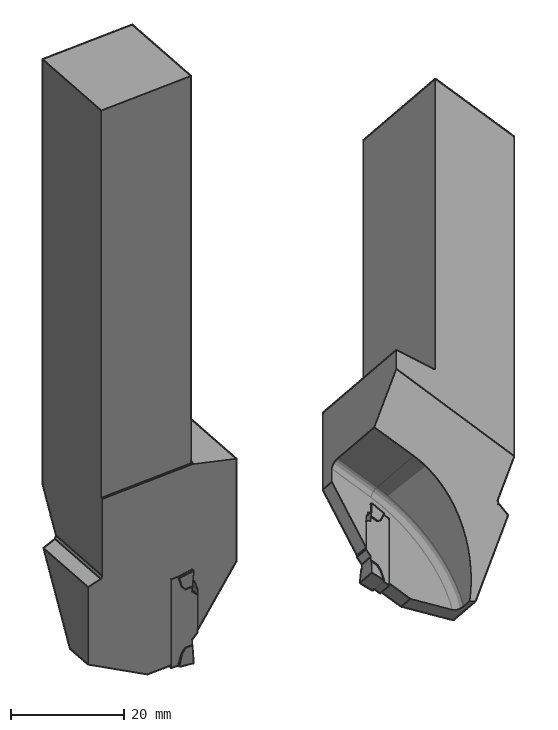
import cadquery as cq
import math


total_length = 127.0
shank_width = 18.8
shank_depth = 19.0
head_width = 19.2
head_back = 28.5
head_front = -3.0
shoulder_slope = math.tan(math.radians(15))
back_shoulder_z = 42.9
front_shoulder_z = 25.8
shoulder_chamfer = 0.4
back_corner_z = 18.2
front_corner_z = 8.1

blade_left = 16.8
blade_bottom_z = 1.0
blade_front_y = 9.5
incline_top_z = 34.7
incline_angle = 26.7
incline_tilt = 0.5
recess_center_z = 1.8
recess_radius = 21.7
recess_fillet = 1.5

insert_front = 14.6
insert_back = 20.2
insert_top_z = 20.1
tip_back = shank_depth
heel_z = 0.4
neck_z = 4.8
belly_z = 6.0
tip_height = 3.7
tip_front = 16.0
tip_bend_y = 16.8
tip_bend_z = 2.8
tip_top_y = 17.5
tip_left_overhang = 0.3
tip_right_overhang = 0.5
tip_root_overhang = 0.1

relief_top_z = 17.7
relief_bend_y = 19.5
relief_bend_z = 17.3
relief_bottom_z = 15.2

margin = 6.4


def prism_along_x(points, x_start, x_end):
    """Extrude a closed (Y, Z) outline between two X positions."""
    sketch = cq.Workplane("YZ", origin=(x_start, 0, 0)).polyline(points).close()
    return sketch.extrude(x_end - x_start)


def make_shank():
    height = total_length - front_shoulder_z
    shank = cq.Workplane("XY", origin=(0, 0, front_shoulder_z))
    return shank.box(shank_width, shank_depth, height, centered=False)


def make_head():
    back_drop = (head_back - shank_depth) * shoulder_slope
    front_drop = -head_front * shoulder_slope
    outline = [
        (0, back_shoulder_z),
        (shank_depth, back_shoulder_z),
        (head_back, back_shoulder_z - back_drop),
        (head_back, back_corner_z),
        (tip_back, neck_z),
        (tip_back, blade_bottom_z),
        (blade_front_y, blade_bottom_z),
        (head_front, front_corner_z),
        (head_front, front_shoulder_z - front_drop),
        (0, front_shoulder_z),
    ]
    return prism_along_x(outline, 0, head_width)


def make_incline_cutter():
    """Wedge below the sloping left face of the head."""
    blade_meet_z = incline_top_z - blade_left / math.tan(math.radians(incline_angle))
    wedge = (
        cq.Workplane("XZ", origin=(0, head_back + margin, 0))
        .polyline([
            (0, incline_top_z),
            (blade_left, blade_meet_z),
            (blade_left, -margin),
            (-margin, -margin),
            (-margin, incline_top_z),
        ])
        .close()
        .extrude(head_back - head_front + 2 * margin)
    )
    pivot = (0, 0, incline_top_z)
    return wedge.rotate(pivot, (1, 0, incline_top_z), incline_tilt)


def make_recess_cutter():
    """Round-cornered recess that leaves the blade, with a filleted floor edge."""
    arc_middle = recess_radius * math.sqrt(0.5)
    back = head_back + margin
    return (
        cq.Workplane("YZ", origin=(-margin, 0, 0))
        .moveTo(shank_depth - recess_radius, recess_center_z)
        .threePointArc(
            (shank_depth - arc_middle, recess_center_z + arc_middle),
            (shank_depth, recess_center_z + recess_radius),
        )
        .lineTo(back, recess_center_z + recess_radius)
        .lineTo(back, -margin)
        .lineTo(shank_depth - recess_radius, -margin)
        .close()
        .extrude(blade_left + margin)
        .faces(">X")
        .edges()
        .fillet(recess_fillet)
    )


def make_pocket_cutter():
    """Insert seat through the blade, with the clearance behind the upper tip."""
    outline = [
        (insert_front, -margin),
        (insert_front, insert_top_z - heel_z),
        (tip_front, insert_top_z - heel_z),
        (tip_back, insert_top_z),
        (tip_back, relief_top_z),
        (relief_bend_y, relief_bend_z),
        (insert_back, relief_bottom_z),
        (insert_back, -margin),
    ]
    return prism_along_x(outline, blade_left - margin, head_width + margin)


def make_holder():
    body = make_shank().union(make_head())
    for y, z in [(0, front_shoulder_z), (shank_depth, back_shoulder_z)]:
        corner = cq.selectors.NearestToPointSelector((shank_width / 2, y, z))
        body = body.edges("|X").edges(corner).chamfer(shoulder_chamfer)
    body = body.cut(make_incline_cutter())
    body = body.cut(make_recess_cutter())
    return body.cut(make_pocket_cutter())


def make_lower_tip():
    """Cutting tip, wider than the insert and tapering towards its root."""
    profile = [
        (tip_back, 0),
        (tip_back, tip_height),
        (tip_top_y, tip_height),
        (tip_bend_y, tip_bend_z),
        (tip_front, heel_z),
    ]
    tip = prism_along_x(profile, blade_left - tip_left_overhang, head_width + tip_right_overhang)
    taper = (
        cq.Workplane("XZ", origin=(0, tip_back, 0))
        .polyline([
            (blade_left - tip_left_overhang, 0),
            (head_width + tip_right_overhang, 0),
            (head_width + tip_root_overhang, tip_height),
            (blade_left - tip_root_overhang, tip_height),
        ])
        .close()
        .extrude(tip_back - insert_front)
    )
    return tip.intersect(taper)


def make_insert():
    """Double-ended insert, mirrored about its middle height."""
    middle_z = insert_top_z / 2
    half_outline = [
        (insert_front, middle_z),
        (insert_front, heel_z),
        (tip_front, heel_z),
        (tip_back, 0),
        (tip_back, neck_z),
        (insert_back, belly_z),
        (insert_back, middle_z),
    ]
    half = prism_along_x(half_outline, blade_left, head_width).union(make_lower_tip())
    return half.union(half.mirror("XY", (0, 0, middle_z)))


holder = make_holder()
insert = make_insert()

result = cq.Compound.makeCompound([holder.solids().val(), insert.solids().val()])